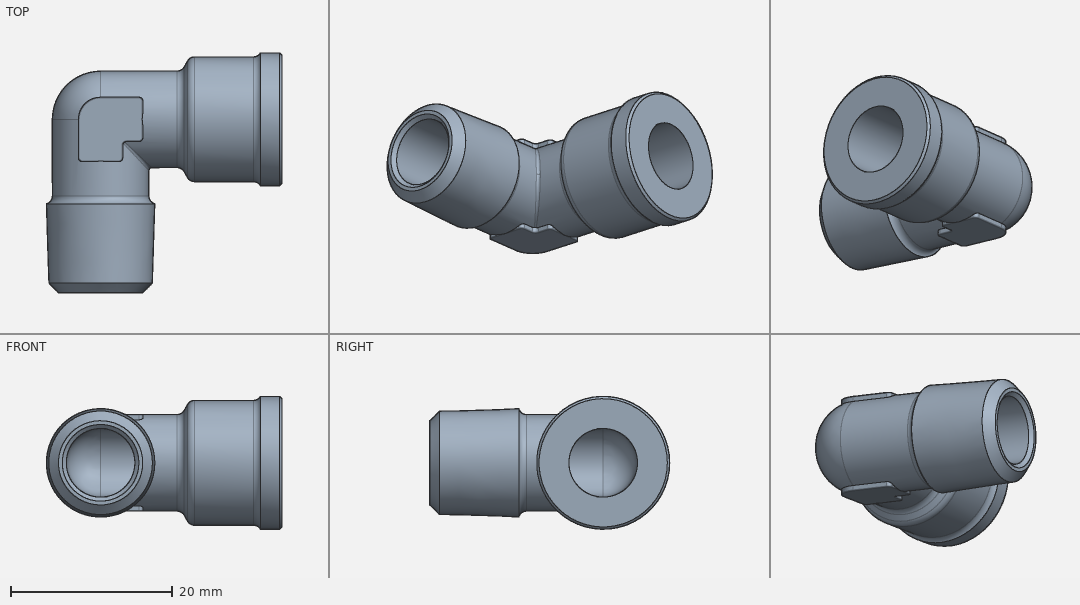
import cadquery as cq
import math

tube_radius = 6.0
bore_radius = 8.5 / 2
neck_fillet = 1.0

male_length = 21.5
male_fillet_start = 9.5
thread_radius = 6.73
thread_taper = 1 / 16
male_tip_chamfer = 1.2
male_bore_chamfer = 0.5

female_length = 22.5
socket_radius = 15.5 / 2
socket_start = 11.65
socket_round = 1.0
socket_cone_angle = math.radians(60)
collar_radius = 16.5 / 2
collar_fillet_start = 18.95
collar_chamfer = 0.3

pad_height = tube_radius
pad_half_width = 2.75
pad_reach = 5.25
pad_corner_radius = 0.5
pad_edge_round = 0.1
crotch_fillet = 0.35


def fillet_point(start, base_radius, turn):
    """Point on a concave neck fillet after it has turned by an angle."""
    return (
        start + neck_fillet * math.sin(turn),
        base_radius + neck_fillet * (1 - math.cos(turn)),
    )


def turn_to_radius(base_radius, radius):
    """Angle a neck fillet turns through to climb from one radius to another."""
    return math.acos(1 - (radius - base_radius) / neck_fillet)


def revolve_along_x(profile):
    return profile.close().revolve(360, (0, 0, 0), (1, 0, 0))


def turn_to_male(leg):
    """Swing a leg built along +X onto -Y."""
    return leg.rotate((0, 0, 0), (0, 0, 1), -90)


def male_leg():
    shoulder_turn = turn_to_radius(tube_radius, thread_radius)
    shoulder = fillet_point(male_fillet_start, tube_radius, shoulder_turn)
    thread_end = male_length - male_tip_chamfer
    thread_end_radius = thread_radius - (thread_end - shoulder[0]) * thread_taper / 2
    profile = (
        cq.Workplane("XY")
        .lineTo(0, tube_radius)
        .lineTo(male_fillet_start, tube_radius)
        .threePointArc(fillet_point(male_fillet_start, tube_radius, shoulder_turn / 2), shoulder)
        .lineTo(thread_end, thread_end_radius)
        .lineTo(male_length, thread_end_radius - male_tip_chamfer)
        .lineTo(male_length, 0)
    )
    return turn_to_male(revolve_along_x(profile))


def female_leg():
    def socket_round_point(turn):
        return (
            socket_start - socket_round * math.sin(turn),
            socket_radius - socket_round * (1 - math.cos(turn)),
        )

    cone_end = socket_round_point(socket_cone_angle)
    _, cone_start_radius = fillet_point(0, tube_radius, socket_cone_angle)
    cone_start = cone_end[0] - (cone_end[1] - cone_start_radius) / math.tan(socket_cone_angle)
    neck_start = cone_start - neck_fillet * math.sin(socket_cone_angle)
    collar_turn = turn_to_radius(socket_radius, collar_radius)

    profile = (
        cq.Workplane("XY")
        .lineTo(0, tube_radius)
        .lineTo(neck_start, tube_radius)
        .threePointArc(
            fillet_point(neck_start, tube_radius, socket_cone_angle / 2),
            (cone_start, cone_start_radius),
        )
        .lineTo(*cone_end)
        .threePointArc(socket_round_point(socket_cone_angle / 2), (socket_start, socket_radius))
        .lineTo(collar_fillet_start, socket_radius)
        .threePointArc(
            fillet_point(collar_fillet_start, socket_radius, collar_turn / 2),
            fillet_point(collar_fillet_start, socket_radius, collar_turn),
        )
        .lineTo(female_length - collar_chamfer, collar_radius)
        .lineTo(female_length, collar_radius - collar_chamfer)
        .lineTo(female_length, 0)
    )
    return revolve_along_x(profile)


def pads():
    """Both L-shaped pads as one prism running through the elbow."""
    outline = [
        (-pad_half_width, pad_half_width),
        (pad_reach, pad_half_width),
        (pad_reach, -pad_half_width),
        (pad_half_width, -pad_half_width),
        (pad_half_width, -pad_reach),
        (-pad_half_width, -pad_reach),
    ]
    prism = cq.Workplane("XY").polyline(outline).close().extrude(pad_height, both=True)
    all_corners = prism.edges("|Z")
    outer_corner = cq.selectors.NearestToPointSelector(outline[0] + (0,))
    small_corners = all_corners.edges(cq.selectors.InverseSelector(outer_corner))
    prism = small_corners.fillet(pad_corner_radius)
    prism = prism.edges("|Z").edges(outer_corner).fillet(pad_half_width)
    return prism.faces("|Z").edges().fillet(pad_edge_round)


def bores():
    """Passage from leg to leg with a spherical turn and a chamfered male mouth."""
    female_bore = cq.Workplane("YZ").circle(bore_radius).extrude(female_length)
    mouth = male_length - male_bore_chamfer
    male_profile = (
        cq.Workplane("XY")
        .lineTo(0, bore_radius)
        .lineTo(mouth, bore_radius)
        .lineTo(male_length, bore_radius + male_bore_chamfer)
        .lineTo(male_length, 0)
    )
    turn = cq.Workplane("XY").sphere(bore_radius)
    return female_bore.union(turn_to_male(revolve_along_x(male_profile))).union(turn)


def round_crotch(body):
    """Round the edges where the two tubes cross on the inside of the elbow."""
    box = cq.selectors.BoxSelector(
        (pad_half_width, -tube_radius, -tube_radius),
        (tube_radius, -pad_half_width, tube_radius),
    )
    return body.edges("%ELLIPSE").edges(box).fillet(crotch_fillet)


elbow = male_leg().union(female_leg()).union(cq.Workplane("XY").sphere(tube_radius))
body = round_crotch(elbow.union(pads()))
result = body.cut(bores())